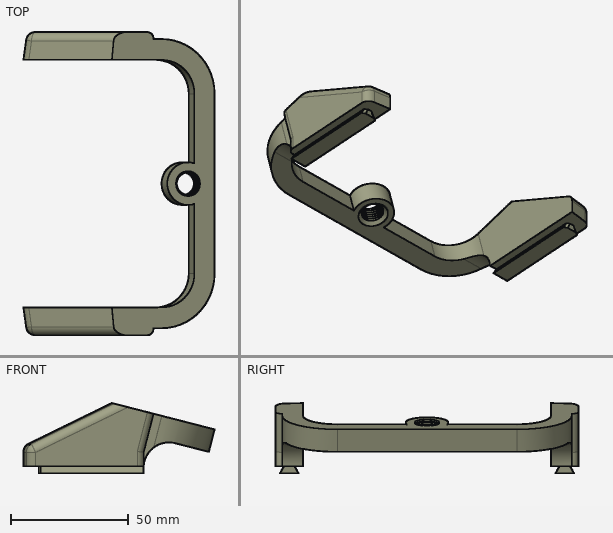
import cadquery as cq
import math

overall_length = 81.4
overall_width = 129.0
overall_height = 29.9

leg_width = 11.9
leg_base_z = 3.0
heel_x = 51.2
heel_bend_z = 9.0
nose_top_z = 11.5
peak_x = 37.7
nose_skew = 8.0
nose_fillet = 4.0
heel_fillet = 2.8

tilt = 14.4
bar_width = 8.9
bar_depth = 9.9
inner_bend_radius = 14.5
underside_radius = 10.7
leg_overlap = 7.7

boss_diameter = 18.2
boss_setback = 11.7
thread_minor = 9.4
thread_major = 10.6
thread_pitch = 1.3
countersink_diameter = 12.8
countersink_depth = 1.5

rail_start_x = 6.6
rail_neck = 4.6
rail_foot = 8.0
rail_end_neck = 2.0
rail_end_foot = 4.5
rail_taper_length = 0.9

tolerance = 0.1

sin_tilt = math.sin(math.radians(tilt))
cos_tilt = math.cos(math.radians(tilt))
tan_tilt = sin_tilt / cos_tilt
leg_inner_y = overall_width / 2 - leg_width
leg_middle_y = overall_width / 2 - leg_width / 2
bar_outer_y = leg_inner_y + bar_width
bar_end = (overall_length - peak_x) / cos_tilt


def top_z(x):
    """Height of the inclined top plane."""
    return overall_height - (x - peak_x) * tan_tilt


def inclined_plane():
    """Plane on the inclined top: origin above the leg peak, local X running down the incline."""
    return cq.Workplane(cq.Plane((peak_x, 0, overall_height), (cos_tilt, 0, -sin_tilt), (sin_tilt, 0, cos_tilt)))


def extrude_side(outline, y_start, y_end):
    """Extrude an XZ outline between two Y positions."""
    return outline.extrude(-(y_end - y_start)).translate((0, y_start, 0))


def make_leg():
    """Leg on the +Y side, with skewed nose and rounded outer edges."""
    heel_rise = (top_z(heel_x) - heel_bend_z) / (1 + tan_tilt**2)
    heel_top_x = heel_x + heel_rise * tan_tilt
    block = cq.Workplane("XZ").polyline([
        (0, leg_base_z),
        (heel_x, leg_base_z),
        (heel_x, heel_bend_z),
        (heel_top_x, top_z(heel_top_x)),
        (0, top_z(0)),
    ]).close()
    leg = extrude_side(block, leg_inner_y, overall_width / 2)

    margin = overall_width
    slope = (overall_height - nose_top_z) / (peak_x * math.cos(math.radians(nose_skew)))
    envelope = cq.Workplane("XZ").polyline([
        (0, -margin),
        (0, nose_top_z),
        (margin, nose_top_z + slope * margin),
        (margin, -margin),
    ]).close()
    envelope = extrude_side(envelope, -margin, margin).rotate((0, 0, 0), (0, 0, 1), -nose_skew)
    leg = leg.intersect(envelope.translate((0, leg_inner_y, 0)))

    def above_base(edge):
        return edge.Center().z > leg_base_z + tolerance

    outer_edges = leg.faces(">Y").edges().filter(above_base)
    front_edges = outer_edges.filter(lambda e: e.Center().x < peak_x)
    nose_ridge = leg.faces("<X").edges(">Z")
    leg = leg.newObject(front_edges.vals() + nose_ridge.vals()).fillet(nose_fillet)

    heel_edges = leg.faces(">Y").edges().filter(above_base)
    heel_edges = heel_edges.filter(lambda e: e.Center().x > heel_x - tolerance)
    return leg.newObject(heel_edges.vals()).fillet(heel_fillet)


def make_rail():
    """Dovetail rail under the +Y leg, narrowing at its front end."""
    def section(x, neck, foot):
        return cq.Workplane("YZ", origin=(x, leg_middle_y, 0)).polyline([
            (-foot / 2, 0),
            (foot / 2, 0),
            (neck / 2, leg_base_z),
            (-neck / 2, leg_base_z),
        ]).close()

    full_x = rail_start_x + rail_taper_length
    body = section(full_x, rail_neck, rail_foot).extrude(heel_x - full_x)
    end_wires = [
        section(rail_start_x, rail_end_neck, rail_end_foot).val(),
        section(full_x, rail_neck, rail_foot).val(),
    ]
    return body.union(cq.Workplane(cq.Solid.makeLoft(end_wires, True)))


def make_bar():
    """U-shaped bar: plan outline square to the incline, trimmed to its side profile."""
    def bent_block(end, half_width, radius):
        """Block running past the legs at one end and rounded at the other two corners."""
        outline = cq.Workplane("XY").rect(2 * end, 2 * half_width).extrude(-2 * overall_height)
        outline = outline.edges("|Z and >X").fillet(radius)
        return outline.rotate((0, 0, 0), (0, 1, 0), tilt).translate((peak_x, 0, overall_height))

    outer = bent_block(bar_end, bar_outer_y, inner_bend_radius + bar_width)
    inner = bent_block(bar_end - bar_width, leg_inner_y, inner_bend_radius)
    plan = outer.cut(inner)

    def underside_z(x):
        return top_z(x) - bar_depth / cos_tilt

    arc_x = heel_x + underside_radius
    arc_z = underside_z(arc_x) - underside_radius / cos_tilt
    arc_start_x = arc_x - math.sqrt(underside_radius**2 - (leg_base_z - arc_z)**2)
    middle_angle = math.radians((180 + 90 - tilt) / 2)
    arc_middle = (
        arc_x + underside_radius * math.cos(middle_angle),
        arc_z + underside_radius * math.sin(middle_angle),
    )
    arc_end = (arc_x + underside_radius * sin_tilt, arc_z + underside_radius * cos_tilt)
    profile_start_x = heel_x - leg_overlap
    profile = (
        cq.Workplane("XZ")
        .moveTo(profile_start_x, leg_base_z)
        .lineTo(arc_start_x, leg_base_z)
        .threePointArc(arc_middle, arc_end)
        .lineTo(overall_length - bar_depth * sin_tilt, top_z(overall_length) - bar_depth * cos_tilt)
        .lineTo(overall_length, top_z(overall_length))
        .lineTo(profile_start_x, top_z(profile_start_x))
        .close()
    )
    return plan.intersect(extrude_side(profile, -overall_width, overall_width))


def make_boss():
    """Solid boss on the inner side of the bar, flush with its top and bottom."""
    return inclined_plane().center(bar_end - boss_setback, 0).circle(boss_diameter / 2).extrude(-bar_depth)


def make_threaded_hole():
    """Bore with ring-shaped thread grooves, opened by a countersink at the bottom."""
    minor = thread_minor / 2
    major = thread_major / 2
    outline = [(0, 0), (major, 0), (minor, -thread_pitch / 2)]
    groove_count = math.floor((bar_depth - countersink_depth) / thread_pitch - 1)
    for groove in range(1, groove_count + 1):
        outline.append((major, -groove * thread_pitch))
        outline.append((minor, -(groove + 0.5) * thread_pitch))
    countersink_top = -bar_depth + countersink_depth
    outline += [(minor, countersink_top), (countersink_diameter / 2, -bar_depth), (0, -bar_depth)]
    hole = cq.Workplane("XZ").polyline(outline).close().revolve(360, (0, 0), (0, 1))
    hole = hole.translate((bar_end - boss_setback, 0, 0)).rotate((0, 0, 0), (0, 1, 0), tilt)
    return hole.translate((peak_x, 0, overall_height))


side = make_leg().union(make_rail())
result = (
    side.union(side.mirror("XZ"))
    .union(make_bar())
    .union(make_boss())
    .cut(make_threaded_hole())
)